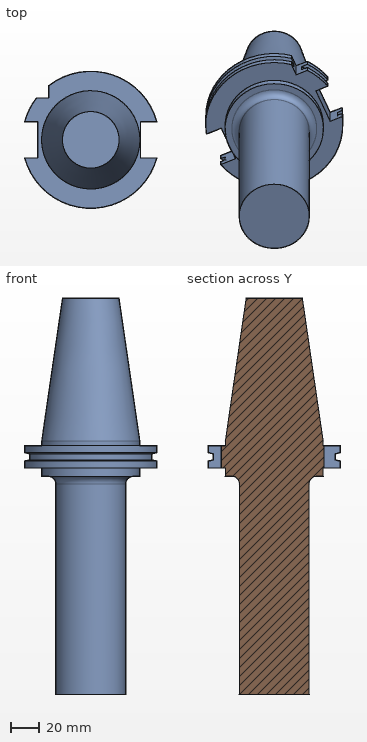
import cadquery as cq
import math

total_height = 281.8
taper_length = 101.7
gauge_height = total_height - taper_length
gauge_to_flange = 3.0
flange_thickness = 16.0
hub_length = 6.0
flange_top = gauge_height - gauge_to_flange
flange_bottom = flange_top - flange_thickness
hub_bottom = flange_bottom - hub_length

gauge_radius = 70.0 / 2
taper_ratio = 7 / 24
taper_end_radius = gauge_radius - taper_length * taper_ratio / 2
shank_radius = 50.0 / 2
shank_fillet = 10.5 / 2
flange_radius = 97.5 / 2

groove_floor_radius = 45.5
groove_mouth = 6.0
groove_floor = 4.2
groove_center = flange_top - flange_thickness / 2

slot_width = 25.5
left_slot_floor = 37.8
right_slot_floor = 35.5
notch_offset = 30.0


def turned_body():
    """Taper, grooved flange, hub and shank revolved about Z."""
    fillet_offset = shank_fillet * (1 - math.sqrt(0.5))
    profile = (
        cq.Workplane("XZ")
        .lineTo(shank_radius, 0)
        .lineTo(shank_radius, hub_bottom - shank_fillet)
        .threePointArc(
            (shank_radius + fillet_offset, hub_bottom - fillet_offset),
            (shank_radius + shank_fillet, hub_bottom),
        )
        .lineTo(gauge_radius, hub_bottom)
        .lineTo(gauge_radius, flange_bottom)
        .lineTo(flange_radius, flange_bottom)
        .lineTo(flange_radius, groove_center - groove_mouth / 2)
        .lineTo(groove_floor_radius, groove_center - groove_floor / 2)
        .lineTo(groove_floor_radius, groove_center + groove_floor / 2)
        .lineTo(flange_radius, groove_center + groove_mouth / 2)
        .lineTo(flange_radius, flange_top)
        .lineTo(gauge_radius, flange_top)
        .lineTo(gauge_radius, gauge_height)
        .lineTo(taper_end_radius, total_height)
        .lineTo(0, total_height)
        .close()
    )
    return profile.revolve(360, (0, 0), (0, 1))


def flange_cutter(inner_x, outer_x, low_y, high_y):
    """Block through the full flange thickness between the given X and Y limits."""
    return (
        cq.Workplane("XY", origin=(0, 0, flange_bottom))
        .moveTo(inner_x, low_y)
        .lineTo(outer_x, low_y)
        .lineTo(outer_x, high_y)
        .lineTo(inner_x, high_y)
        .close()
        .extrude(flange_thickness)
    )


result = turned_body()

for slot_floor, side in ((left_slot_floor, -1), (right_slot_floor, 1)):
    result = result.cut(
        flange_cutter(side * slot_floor, side * flange_radius, -slot_width / 2, slot_width / 2)
    )

result = result.cut(flange_cutter(-notch_offset, -flange_radius, notch_offset, flange_radius))